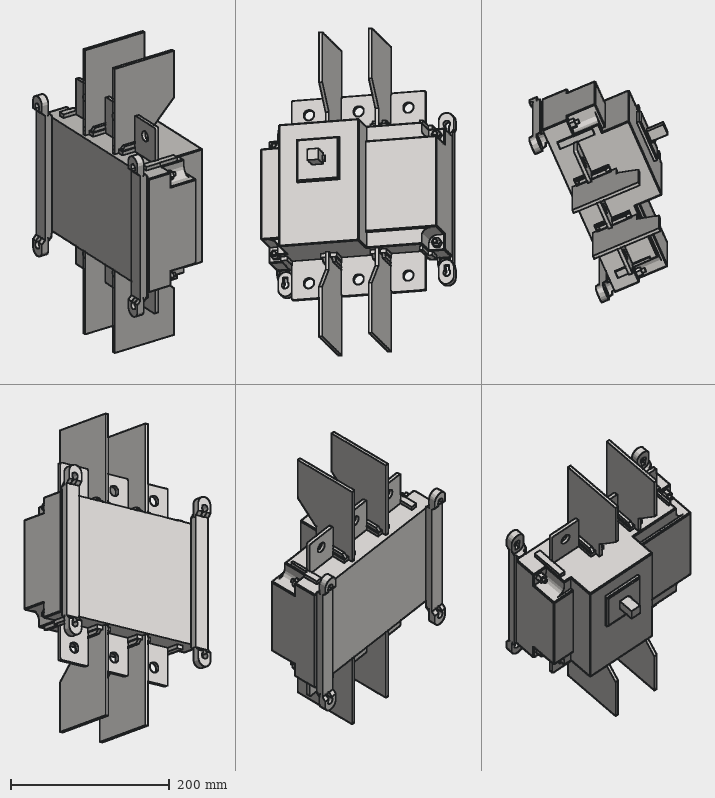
import cadquery as cq


body_width = 230.0
body_height = 159.5
body_front = 18.5
body_back = 90.5
tower_back = 123.0
tower_width = 105.0
edge_chamfer = 1.0

pole_pitch = 65.0
middle_pole_x = -2.5
pole_xs = [middle_pole_x + i * pole_pitch for i in (-1, 0, 1)]
barrier_xs = [middle_pole_x + i * pole_pitch / 2 for i in (-1, 1)]
tower_x = barrier_xs[1]

ledge_z = 59.5
ledge_back = 86.0
pocket_wall_x = 94.0
pocket_floor = 52.0
pocket_radius = 10.8

stud_x = 105.5
stud_z = 70.5
stud_diameter = 5.0
stud_end = 64.0
nut_across_corners = 12.0
nut_end = 59.0

plate_side = 55.0
plate_end = 128.0
plate_chamfer = 1.5
shaft_z = 29.5
shaft_side = 14.5
shaft_end = 150.5
pin_diameter = 8.0
pin_y = 128.5
pin_length = 2.8
pin_bore = 2.5

terminal_width = 45.0
terminal_thickness = 4.8
terminal_front = 48.3
terminal_end = 130.5
terminal_corner = 2.5
terminal_hole = 13.5
terminal_hole_z = 110.0

barrier_thickness = 4.5
barrier_end = 199.5
barrier_front = 23.0
barrier_neck_back = 83.5
barrier_wide_back = 114.0
barrier_neck_end = 103.5
barrier_wide_start = barrier_neck_end + barrier_wide_back - barrier_neck_back
pad_width = 21.0
pad_front = 29.0
pad_back = 76.5
pad_end = 85.0
rail_end = 90.0
rail_thickness = 4.5
rail_offset = 6.5
end_pad_width = 8.8

bracket_width = 20.0
bracket_x = (body_width - bracket_width) / 2
bracket_end = 112.0
bar_front = 4.8
bar_end = 81.8
foot_back = 10.0
foot_start = 92.0
step_y = 14.8
step_width = 3.5
head_recess_diameter = 20.0
head_recess_z = 90.5
keyhole_x = 105.7
keyhole_z = 97.5
keyhole_diameter = 8.8
keyslot_width = 6.0
keyslot_start = foot_start - bar_front


def box(x, y, z):
    """Box between the (low, high) limits given along each axis."""
    size = (x[1] - x[0], y[1] - y[0], z[1] - z[0])
    return cq.Workplane("XY").box(*size, centered=False).translate((x[0], y[0], z[0]))


def around(centre, width):
    """Limits of a width centred on a place."""
    return centre - width / 2, centre + width / 2


def cylinder(diameter, x, z, y):
    """Cylinder along Y between the limits y."""
    plane = cq.Workplane("XZ", origin=(x, y[0], z))
    return plane.circle(diameter / 2).extrude(y[0] - y[1])


def extrude_profile(points, x):
    """Prism along X between the limits x, from (y, z) points."""
    return cq.Workplane("YZ", origin=(x[0], 0, 0)).polyline(points).close().extrude(x[1] - x[0])


def both_ends(top):
    """A top feature together with its mirror image at the bottom."""
    return top.union(top.mirror("XY"))


def corner_pocket():
    """Open pocket at the +X, +Z corner, with a rounded inner corner."""
    side = body_width / 2
    top = body_height / 2
    blank = box((pocket_wall_x, side), (pocket_floor, body_back), (ledge_z, top))
    return blank.edges("|Y and <X and <Z").fillet(pocket_radius)


def both_sides(right):
    """A +X feature together with its mirror image at -X."""
    return right.union(right.mirror("YZ"))


def make_body():
    """Chamfered base with its back ledges and corner pockets, and the mechanism tower."""
    side = body_width / 2
    top = body_height / 2
    full_height = (-top, top)
    base = box((-side, side), (body_front, body_back), full_height)
    ledge = box((-side, side), (ledge_back, body_back), (ledge_z, top))
    base = base.cut(both_ends(ledge.union(both_sides(corner_pocket()))))
    outer_faces = base.faces(">Y or <X or >X or <Z or >Z")
    base = outer_faces.edges("not <Y").chamfer(edge_chamfer)
    tower = box(around(tower_x, tower_width), (body_front, tower_back), full_height)
    tower = tower.faces(">Y or <Z or >Z").edges("not <Y").chamfer(edge_chamfer)
    return base.union(tower)


def make_stud():
    stud = cylinder(stud_diameter, stud_x, stud_z, (pocket_floor, stud_end))
    nut = cq.Workplane("XZ", origin=(stud_x, pocket_floor, stud_z))
    nut = nut.polygon(6, nut_across_corners).extrude(pocket_floor - nut_end)
    return stud.union(nut)


def make_shaft():
    plate = box(around(tower_x, plate_side), (tower_back, plate_end), around(shaft_z, plate_side))
    plate = plate.faces(">Y").edges().chamfer(plate_chamfer)
    shaft_x = around(tower_x, shaft_side)
    shaft = box(shaft_x, (tower_back, shaft_end), around(shaft_z, shaft_side))
    pin = cq.Workplane("YZ", origin=(shaft_x[0] - pin_length, pin_y, shaft_z))
    pin = pin.circle(pin_diameter / 2).extrude(pin_length + shaft_side / 2)
    bore = cq.Workplane("YZ", origin=(shaft_x[0] - pin_length, pin_y, shaft_z))
    bore = bore.circle(pin_bore / 2).extrude(pin_length)
    return plate.union(shaft).union(pin).cut(bore)


def make_terminal(x):
    y = (terminal_front, terminal_front + terminal_thickness)
    bar = box(around(x, terminal_width), y, (0, terminal_end))
    bar = bar.edges("|Y and >Z").fillet(terminal_corner)
    return bar.cut(cylinder(terminal_hole, x, terminal_hole_z, y))


def make_barrier(x):
    """Barrier sheet seated in its pad between two chamfered guide rails."""
    outline = [
        (barrier_front, 0),
        (barrier_front, barrier_end),
        (barrier_wide_back, barrier_end),
        (barrier_wide_back, barrier_wide_start),
        (barrier_neck_back, barrier_neck_end),
        (barrier_neck_back, 0),
    ]
    barrier = extrude_profile(outline, around(x, barrier_thickness))
    pad_y = (pad_front, pad_back)
    barrier = barrier.union(box(around(x, pad_width), pad_y, (0, pad_end)))
    for rail_x in (x - rail_offset, x + rail_offset):
        rail = box(around(rail_x, rail_thickness), pad_y, (0, rail_end))
        barrier = barrier.union(rail.edges("|X and >Z").chamfer(rail_end - pad_end))
    return barrier


def make_end_pad(side):
    """Pad outside an outer pole (side is -1 or 1), cut back where the corner pocket opens."""
    inner_edge = middle_pole_x + side * (1.5 * pole_pitch - pad_width / 2)
    centre = inner_edge + side * end_pad_width / 2
    pad = box(around(centre, end_pad_width), (pad_front, pad_back), (0, pad_end))
    wall_edge = pocket_wall_x - edge_chamfer
    clearance = box((wall_edge, body_width), (pocket_floor - edge_chamfer, body_back), (0, pad_end))
    return pad.cut(both_sides(clearance))


def make_bracket():
    """Bar across the housing front, stepped on its long edges, with keyholed feet at both ends."""
    x = around(bracket_x, bracket_width)
    outline = [
        (body_front, 0),
        (body_front, bar_end),
        (foot_back, bar_end + body_front - foot_back),
        (foot_back, bracket_end),
        (0, bracket_end),
        (0, foot_start),
        (bar_front, keyslot_start),
        (bar_front, 0),
    ]
    half = extrude_profile(outline, x)

    step_y_limits = (step_y, body_front)
    for step_x in ((x[0], x[0] + step_width), (x[1] - step_width, x[1])):
        half = half.cut(box(step_x, step_y_limits, (0, bracket_end)))

    rounded_end = cq.Workplane("XZ", origin=(bracket_x, body_front, 0))
    rounded_end = rounded_end.slot2D(2 * bracket_end, bracket_width, 90).extrude(body_front)
    half = half.intersect(rounded_end)

    half = half.cut(cylinder(head_recess_diameter, bracket_x, head_recess_z, (foot_back, body_front)))

    through = (0, foot_back)
    half = half.cut(cylinder(keyhole_diameter, keyhole_x, keyhole_z, through))
    half = half.cut(box(around(keyhole_x, keyslot_width), through, (keyslot_start, keyhole_z)))
    return both_ends(half)


result = make_body().union(make_shaft())

for pole_x in pole_xs:
    result = result.union(both_ends(make_terminal(pole_x)))

for barrier_x in barrier_xs:
    result = result.union(both_ends(make_barrier(barrier_x)))

for pole_side in (-1, 1):
    result = result.union(both_ends(make_end_pad(pole_side)))

for mirrored_part in (make_bracket(), both_ends(make_stud())):
    result = result.union(both_sides(mirrored_part))